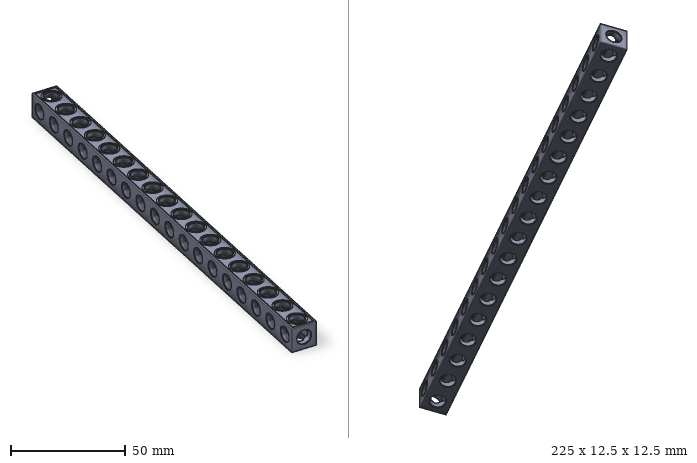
import cadquery as cq

length = 225.0
hole_count = 18
pitch = length / hole_count
side = pitch
edge_radius = 0.3

hole_radius = 7.0 / 2
mouth_chamfer = 0.3

rim_width = 1.0
tray_depth = 0.2
collar_radius = 9.2 / 2

first_hole_x = (pitch - length) / 2
hole_centres = [(first_hole_x + i * pitch, 0) for i in range(hole_count)]


def make_tray():
    """Volume removed from the top face, leaving the rim and the collars standing."""
    floor = cq.Workplane("XY", origin=(0, 0, side / 2 - tray_depth))
    tray = floor.rect(length - 2 * rim_width, side - 2 * rim_width).extrude(tray_depth)
    collars = floor.pushPoints(hole_centres).circle(collar_radius).extrude(tray_depth)
    return tray.cut(collars)


def make_hole(through_length):
    """Cutter along Z, centred on the origin, flaring at both mouths."""
    mouth_z = through_length / 2
    half_profile = [
        (0, 0),
        (hole_radius, 0),
        (hole_radius, mouth_z - mouth_chamfer),
        (hole_radius + mouth_chamfer, mouth_z),
        (0, mouth_z),
    ]
    upper_half = cq.Workplane("XZ").polyline(half_profile).close().revolve(360, (0, 0), (0, 1))
    return upper_half.union(upper_half.mirror("XY"))


beam = cq.Workplane("XY").box(length, side, side).edges().fillet(edge_radius)

vertical_hole = make_hole(side)
crosswise_hole = vertical_hole.rotate((0, 0, 0), (1, 0, 0), 90)
lengthwise_hole = make_hole(length).rotate((0, 0, 0), (0, 1, 0), 90)

result = beam.cut(make_tray()).cut(lengthwise_hole)
for x, y in hole_centres:
    result = result.cut(vertical_hole.translate((x, y, 0)))
    result = result.cut(crosswise_hole.translate((x, y, 0)))